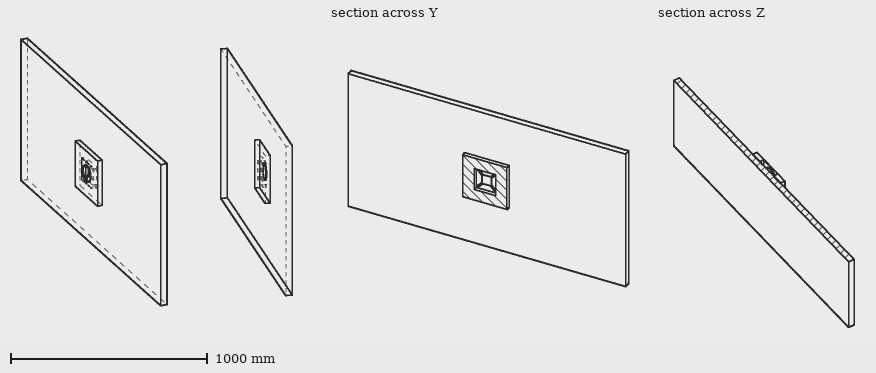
import cadquery as cq
import math

PANEL_LENGTH = 1600.0
PANEL_HEIGHT = PANEL_LENGTH / 2
PANEL_THICKNESS = 35.0

COVER_SIDE = 256.0
COVER_DEPTH = 25.0
COVER_FRONT_WALL = 5.0
CAVITY_SIDE = 123.0
CAVITY_DEPTH = COVER_DEPTH - COVER_FRONT_WALL
OPENING_DIAMETER = 90.0

HUB_SIDE = 55.0
ARM_WIDTH = 8.0
SPIDER_THICKNESS = 2.0
ARM_SPAN = CAVITY_SIDE * math.sqrt(2)
ARM_ANGLES = (45, 135)


def slab(length, height, thickness):
    """Box centred on X and Z that rises from Y = 0 towards -Y."""
    return cq.Workplane("XZ").rect(length, height).extrude(thickness)


def make_panel():
    return slab(PANEL_LENGTH, PANEL_HEIGHT, -PANEL_THICKNESS)


def make_cover():
    body = slab(COVER_SIDE, COVER_SIDE, COVER_DEPTH)
    cavity = slab(CAVITY_SIDE, CAVITY_SIDE, CAVITY_DEPTH)
    opening = cq.Workplane("XZ").circle(OPENING_DIAMETER / 2).extrude(COVER_DEPTH)
    return body.cut(cavity).cut(opening)


def make_spider():
    spider = slab(HUB_SIDE, HUB_SIDE, SPIDER_THICKNESS)
    for angle in ARM_ANGLES:
        arm_pair = slab(ARM_SPAN, ARM_WIDTH, SPIDER_THICKNESS).rotate((0, 0, 0), (0, 1, 0), angle)
        spider = spider.union(arm_pair)
    return spider.intersect(slab(CAVITY_SIDE, CAVITY_SIDE, SPIDER_THICKNESS))


panel = make_panel()
cover = make_cover()
spider = make_spider()

result = cq.Compound.makeCompound([body.solids().val() for body in (panel, cover, spider)])